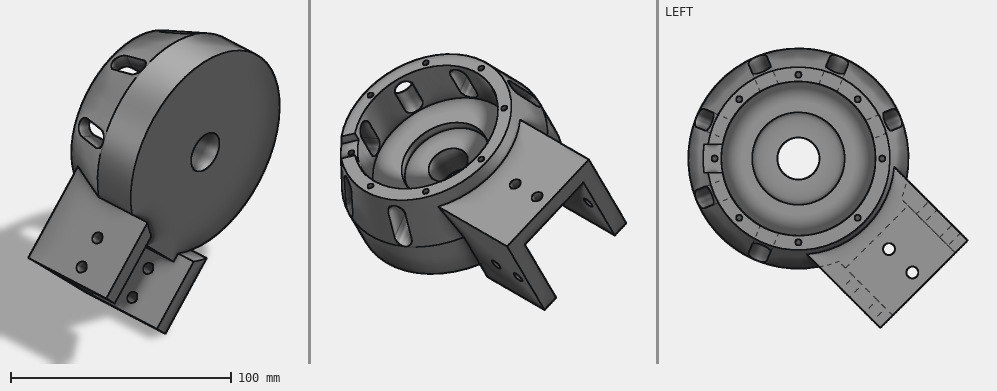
import cadquery as cq


outer_radius = 50.0
front_radius = 41.5
cone_length = 24.0
ring_length = 44.5
bore_radius = 35.0
bore_depth = 24.5
recess_radius = 21.0
recess_depth = 4.2
shaft_hole_radius = 9.5

screw_count = 8
screw_circle_radius = 38.0
screw_diameter = 2.8
screw_depth = 10.0

notch_width = 13.0
notch_depth = 5.0

slot_pitch = 45.0
slot_first_angle = -67.5
slot_count = 6
slot_start = 3.0
slot_end = 24.0
slot_width = 9.0

plate_start = 6.0
plate_thickness = 8.0
channel_size = 40.1
bracket_width = channel_size + 2 * plate_thickness
bracket_depth = plate_thickness + channel_size
bracket_end = plate_start + bracket_depth
channel_start = plate_start + plate_thickness
channel_length = 30.5
bracket_reach = 80.59
channel_floor = bracket_reach - channel_length
bracket_angle = 45.0

mount_diameter = 5.3
mount_spacing = 15.0
mount_edge_distance = 7.5


def cylinder(radius, start, end):
    """Cylinder on the ring axis between two X positions."""
    return cq.Workplane("YZ").workplane(offset=start).circle(radius).extrude(end - start)


def outward_block(x_start, x_end, near, far, width):
    """Box lying along -Y, centred on the axis, then turned to the outward diagonal."""
    box = cq.Workplane("XY").box(x_end - x_start, far - near, width, centered=(False, False, True))
    return turn_outward(box.translate((x_start, -far, 0)))


def turn_outward(body):
    """Turn a body built along -Y so that it points along the outward diagonal."""
    return body.rotate((0, 0, 0), (1, 0, 0), bracket_angle)


def ring_body():
    """Solid of revolution: a cone at the front followed by a cylinder."""
    profile = [
        (0, 0),
        (0, front_radius),
        (cone_length, outer_radius),
        (ring_length, outer_radius),
        (ring_length, 0),
    ]
    return cq.Workplane("XZ").polyline(profile).close().revolve(360, (0, 0, 0), (1, 0, 0))


def bracket():
    """Channel opening outward and to the back, with side walls that run on behind the ring."""
    block = outward_block(plate_start, bracket_end, 0, bracket_reach, bracket_width)
    channel = outward_block(channel_start, bracket_end, channel_floor, bracket_reach, channel_size)
    rear_gap = outward_block(ring_length, bracket_end, 0, bracket_reach, channel_size)
    rear_clearance = cylinder(outer_radius, ring_length, bracket_end)
    return block.cut(channel).cut(rear_gap).cut(rear_clearance)


def mount_holes():
    """Two holes through the base plate and two through both side walls."""
    far_hole = bracket_reach - mount_edge_distance
    hole_places = [far_hole - mount_spacing, far_hole]
    wall_hole_x = channel_start + channel_size / 2
    plate_holes = (
        cq.Workplane("YZ").workplane(offset=plate_start)
        .pushPoints([(-place, 0) for place in hole_places])
        .circle(mount_diameter / 2).extrude(plate_thickness)
    )
    wall_holes = (
        cq.Workplane("XY")
        .pushPoints([(wall_hole_x, -place) for place in hole_places])
        .circle(mount_diameter / 2).extrude(bracket_width / 2, both=True)
    )
    return turn_outward(plate_holes.union(wall_holes))


def hollow():
    """Stepped bore along the ring axis."""
    recess_end = bore_depth + recess_depth
    return (
        cylinder(bore_radius, 0, bore_depth)
        .union(cylinder(recess_radius, 0, recess_end))
        .union(cylinder(shaft_hole_radius, 0, ring_length))
    )


def screw_holes():
    """Blind holes spaced evenly round the front rim."""
    return (
        cq.Workplane("YZ")
        .polarArray(screw_circle_radius, 0, 360, screw_count)
        .circle(screw_diameter / 2).extrude(screw_depth)
    )


def key_notch():
    """Square-sided notch cut through the front rim."""
    return cq.Workplane("XY").box(notch_depth, outer_radius, notch_width, centered=(False, False, True))


def vent_slots():
    """Radial slots with round ends, leaving out the stretch taken by the bracket."""
    slot_length = slot_end - slot_start
    slot_middle = (slot_start + slot_end) / 2
    slot = (
        cq.Workplane("XZ").center(slot_middle, 0)
        .slot2D(slot_length, slot_width).extrude(-outer_radius)
    )
    slots = cq.Workplane("XY")
    for index in range(slot_count):
        angle = slot_first_angle + index * slot_pitch
        slots = slots.add(slot.rotate((0, 0, 0), (1, 0, 0), angle))
    return slots.combine()


result = ring_body().union(bracket())
for cutter in (hollow(), screw_holes(), key_notch(), mount_holes(), vent_slots()):
    result = result.cut(cutter)